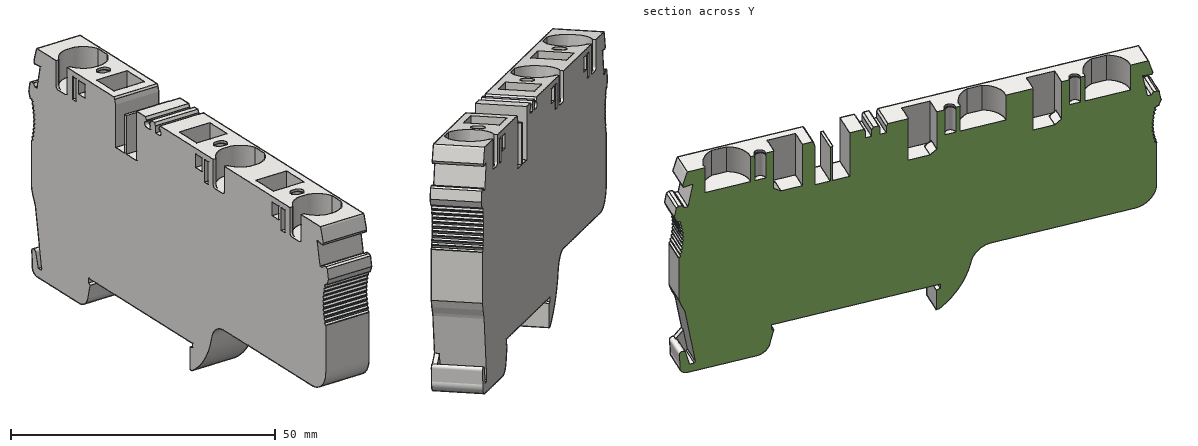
import cadquery as cq
import math

LENGTH = 99.0
WIDTH = 10.0
HEIGHT = 48.0
MID_Y = WIDTH / 2

WALL_INSET = 0.9
WALL_TOP_Z = 27.9
WALL_BOTTOM_Z = 18.0
GRIP_TOP_Z = 36.6
GRIP_SAG = 0.7
UNDERSIDE_Z = 13.5
CORNER_RADIUS = WALL_BOTTOM_Z - UNDERSIDE_Z
RAIL_Z = 6.5

TOOTH_COUNT = 10
TOOTH_DEPTH = 0.3
TOOTH_CUT_SHARE = 0.8

WEB_THICKNESS = 1.0

RECESS_LEFT = 28.7
RECESS_RIGHT = 35.7
RECESS_Z = 37.6
LEAD_IN_STEPS = ((0.6, 0.0), (0.3, 0.4), (0.0, 1.5))
FIN_LEFT = 31.7
FIN_THICKNESS = 0.6
FIN_TOP_Z = 45.8

GROOVE_CENTRES = (39.5, 42.5)
GROOVE_FLOOR_WIDTH = 1.2
GROOVE_MOUTH_WIDTH = 1.9
GROOVE_CHAMFER_HEIGHT = 0.6
GROOVE_Z = 46.0
UNDERCUT_RADIUS = 0.6
UNDERCUT_DEPTH = 1.0

TERMINALS = ((10.9, 1), (62.8, -1), (88.1, -1))
WELL_DIAMETER = 9.4
WELL_LENGTH = 9.2
WELL_WIDTH = 8.9
WELL_FLOOR_Z = 42.1
NOTCH_WIDTH = 3.7
NOTCH_FILLET = 0.7
SLIT_WIDTH = 1.2
WELL_TUBE_RADIUS = 5.8
WINDOW_TOP_Z = 46.8
TEST_HOLE_OFFSET = 6.6
TEST_HOLE_DIAMETER = 2.2
TEST_MOUTH_LENGTH = 2.8
TEST_MOUTH_DEPTH = 0.5
TEST_TUBE_RADIUS = 2.1
WINDOW_BOTTOM_Z = 44.0
POCKET_OFFSET = 12.3
POCKET_LENGTH = 5.7
POCKET_WIDTH = 7.0
POCKET_DEPTH = 9.9
WEDGE_LENGTH = 1.4
WEDGE_WIDTH = 5.7
WEDGE_RISE = 1.0


def box(x_min, x_max, y_min, y_max, z_min, z_max):
    size = (x_max - x_min, y_max - y_min, z_max - z_min)
    return cq.Workplane("XY").box(*size, centered=False).translate((x_min, y_min, z_min))


def post(x, y, radius, height, base_z=0.0):
    return cq.Workplane("XY").circle(radius).extrude(height).translate((x, y, base_z))


def extrude_outline(sketch, y_min=0.0, y_max=WIDTH):
    """Extrude an open X-Z outline along Y after closing it."""
    return sketch.close().extrude(-(y_max - y_min)).translate((0, y_min, 0))


def outline_from(points):
    return cq.Workplane("XZ").polyline(points)


LEFT_RIDGE = [
    (2.7, HEIGHT),
    (2.5, 47.6),
    (1.7, 45.0),
    (1.9, 44.5),
    (3.8, 44.7),
    (2.8, 39.7),
    (2.1, 39.7),
    (1.6, 40.3),
    (0.9, 40.3),
    (0.4, 40.0),
    (0.0, 37.9),
    (0.5, GRIP_TOP_Z),
    (WALL_INSET, GRIP_TOP_Z),
]
RIGHT_RIDGE = [(LENGTH - x, z) for x, z in reversed(LEFT_RIDGE)]
GRIP_MID_Z = (GRIP_TOP_Z + WALL_TOP_Z) / 2


def make_body():
    right_wall = LENGTH - WALL_INSET
    corner_mid = CORNER_RADIUS * (1 - math.sqrt(0.5))
    sketch = (
        outline_from(LEFT_RIDGE)
        .threePointArc((WALL_INSET + GRIP_SAG, GRIP_MID_Z), (WALL_INSET, WALL_TOP_Z))
        .lineTo(WALL_INSET, WALL_BOTTOM_Z)
        .lineTo(1.4, 16.5)
        .lineTo(2.0, 15.3)
        .lineTo(2.2, 14.7)
        .lineTo(4.3, 2.4)
        .lineTo(4.1, 2.0)
        .lineTo(3.2, 2.0)
        .lineTo(2.4, 5.0)
        .threePointArc((1.7, 5.4), (1.0, 4.7))
        .lineTo(1.2, 2.1)
        .threePointArc((1.6, 0.5), (2.7, 0.0))
        .lineTo(16.7, 0.0)
        .threePointArc((18.7, 0.8), (19.6, 2.6))
        .lineTo(20.3, 5.2)
        .lineTo(19.8, 5.5)
        .lineTo(19.8, RAIL_Z)
        .lineTo(54.1, RAIL_Z)
        .lineTo(54.1, 5.6)
        .lineTo(53.3, 5.4)
        .lineTo(53.3, 0.7)
        .lineTo(53.9, 0.7)
        .threePointArc((58.1, 4.9), (60.4, 10.1))
        .threePointArc((61.8, 12.5), (64.5, UNDERSIDE_Z))
        .lineTo(right_wall - CORNER_RADIUS, UNDERSIDE_Z)
        .threePointArc((right_wall - corner_mid, UNDERSIDE_Z + corner_mid), (right_wall, WALL_BOTTOM_Z))
        .lineTo(right_wall, WALL_TOP_Z)
        .threePointArc((right_wall - GRIP_SAG, GRIP_MID_Z), (right_wall, GRIP_TOP_Z))
    )
    for x, z in RIGHT_RIDGE[1:]:
        sketch = sketch.lineTo(x, z)
    return extrude_outline(sketch)


def make_foot_web():
    """Thin wall at the back that ties the snap foot to the body."""
    points = [(3.5, 7.1), (4.6, 2.4), (4.1, 1.8), (3.0, 1.8), (1.7, 5.2)]
    return extrude_outline(outline_from(points), WIDTH - WEB_THICKNESS, WIDTH)


def make_grip_serrations():
    """Rows of V-cuts following the hollow grip on both end walls."""
    half_chord = (GRIP_TOP_Z - WALL_TOP_Z) / 2
    radius = (half_chord ** 2 + GRIP_SAG ** 2) / (2 * GRIP_SAG)
    arc_centre_x = WALL_INSET + GRIP_SAG - radius
    half_angle = math.asin(half_chord / radius)
    step = 2 * half_angle / TOOTH_COUNT

    def on_arc(angle, offset):
        reach = radius + offset
        return (arc_centre_x + reach * math.cos(angle), GRIP_MID_Z + reach * math.sin(angle))

    cuts = cq.Workplane("XZ")
    for tooth in range(TOOTH_COUNT):
        angle = (tooth + 0.5) * step - half_angle
        half_cut = TOOTH_CUT_SHARE * step / 2
        points = [
            on_arc(angle - half_cut, -TOOTH_DEPTH / 2),
            on_arc(angle - half_cut, 0),
            on_arc(angle, TOOTH_DEPTH),
            on_arc(angle + half_cut, 0),
            on_arc(angle + half_cut, -TOOTH_DEPTH / 2),
        ]
        mirrored = [(LENGTH - x, z) for x, z in points]
        cuts = cuts.add(extrude_outline(outline_from(points)))
        cuts = cuts.add(extrude_outline(outline_from(mirrored)))
    return cuts.combine()


def make_fin_recess():
    points = [(RECESS_LEFT - setback, HEIGHT - depth) for setback, depth in LEAD_IN_STEPS]
    points += [
        (RECESS_LEFT, RECESS_Z),
        (RECESS_RIGHT, RECESS_Z),
        (RECESS_RIGHT, HEIGHT),
    ]
    fin = box(FIN_LEFT, FIN_LEFT + FIN_THICKNESS, 0, WIDTH, RECESS_Z, FIN_TOP_Z)
    return extrude_outline(outline_from(points)).cut(fin)


def make_marker_groove(centre, outward):
    """Groove with a chamfered mouth and a small round undercut at the front on its outward side."""
    half_floor = GROOVE_FLOOR_WIDTH / 2
    half_mouth = GROOVE_MOUTH_WIDTH / 2
    points = [
        (centre - half_mouth, HEIGHT),
        (centre - half_floor, HEIGHT - GROOVE_CHAMFER_HEIGHT),
        (centre - half_floor, GROOVE_Z),
        (centre + half_floor, GROOVE_Z),
        (centre + half_floor, HEIGHT - GROOVE_CHAMFER_HEIGHT),
        (centre + half_mouth, HEIGHT),
    ]
    groove = extrude_outline(outline_from(points))
    side = centre + outward * half_floor
    undercut = post(side, 0, UNDERCUT_RADIUS, UNDERCUT_DEPTH)
    undercut = undercut.rotate((side, 0, 0), (side + 1, 0, 0), -90)
    undercut = undercut.translate((0, 0, GROOVE_Z + UNDERCUT_RADIUS))
    return groove.union(undercut)


def make_wire_well(centre):
    """Round well with four flats, opened through the front wall by a notch."""
    depth = HEIGHT - WELL_FLOOR_Z
    well = cq.Workplane("XY").circle(WELL_DIAMETER / 2).extrude(depth)
    flats = cq.Workplane("XY").rect(WELL_LENGTH, WELL_WIDTH).extrude(depth)
    well = well.intersect(flats).translate((centre, MID_Y, WELL_FLOOR_Z))
    half_notch = NOTCH_WIDTH / 2
    notch = box(centre - half_notch, centre + half_notch, 0, MID_Y, WELL_FLOOR_Z, HEIGHT)
    notch = notch.edges("|Y and <Z").fillet(NOTCH_FILLET)
    return well.union(notch)


def make_well_slit(centre, side):
    """Shallow slit in the front wall, bottoming on the round tube of the well."""
    edge = centre + side * WELL_DIAMETER / 2
    x_min, x_max = sorted((edge, edge - side * SLIT_WIDTH))
    slit = box(x_min, x_max, 0, MID_Y, WELL_FLOOR_Z, WINDOW_TOP_Z)
    return slit.cut(post(centre, MID_Y, WELL_TUBE_RADIUS, HEIGHT))


def make_test_hole(centre, side):
    """Blind test hole with an oval mouth."""
    x = centre + side * TEST_HOLE_OFFSET
    hole = post(x, MID_Y, TEST_HOLE_DIAMETER / 2, HEIGHT - WELL_FLOOR_Z, WELL_FLOOR_Z)
    mouth = cq.Workplane("XY").slot2D(TEST_MOUTH_LENGTH, TEST_HOLE_DIAMETER, 90).extrude(TEST_MOUTH_DEPTH)
    return hole.union(mouth.translate((x, MID_Y, HEIGHT - TEST_MOUTH_DEPTH)))


def make_test_window(centre, side):
    """Square window in the front wall, bottoming on the round tube of the test hole."""
    x = centre + side * TEST_HOLE_OFFSET
    half_width = TEST_HOLE_DIAMETER / 2
    window = box(x - half_width, x + half_width, 0, MID_Y, WINDOW_BOTTOM_Z, WINDOW_TOP_Z)
    return window.cut(post(x, MID_Y, TEST_TUBE_RADIUS, HEIGHT))


def make_tool_pocket(centre, side):
    """Rectangular pocket with a wedge at the foot of its wall nearest the well."""
    x = centre + side * POCKET_OFFSET
    half_length = POCKET_LENGTH / 2
    half_width = POCKET_WIDTH / 2
    floor_z = HEIGHT - POCKET_DEPTH
    pocket = box(x - half_length, x + half_length, MID_Y - half_width, MID_Y + half_width, floor_z, HEIGHT)
    near_wall = x - side * half_length
    points = [
        (near_wall, floor_z),
        (near_wall + side * WEDGE_LENGTH, floor_z),
        (near_wall, floor_z + WEDGE_RISE),
    ]
    wedge = extrude_outline(outline_from(points), MID_Y - WEDGE_WIDTH / 2, MID_Y + WEDGE_WIDTH / 2)
    return pocket.cut(wedge)


result = make_body().union(make_foot_web())
result = result.cut(make_grip_serrations()).cut(make_fin_recess())
for groove_centre, groove_outward in zip(GROOVE_CENTRES, (-1, 1)):
    result = result.cut(make_marker_groove(groove_centre, groove_outward))
for well_centre, pocket_side in TERMINALS:
    result = result.cut(make_wire_well(well_centre))
    result = result.cut(make_well_slit(well_centre, pocket_side))
    result = result.cut(make_test_hole(well_centre, pocket_side))
    result = result.cut(make_test_window(well_centre, pocket_side))
    result = result.cut(make_tool_pocket(well_centre, pocket_side))